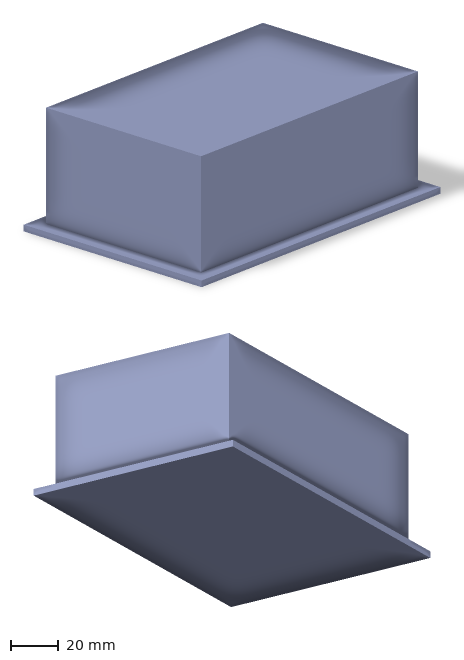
import cadquery as cq

flange_width = 100.0
flange_length = 150.0
total_height = 55.0

flange_thickness = 3.0
side_ledge = 6.5
end_ledge = 6.9

block_width = flange_width - 2 * side_ledge
block_length = flange_length - 2 * end_ledge
block_height = total_height - flange_thickness

flange = cq.Workplane("XY").rect(flange_width, flange_length).extrude(flange_thickness)

result = (
    flange.faces(">Z")
    .workplane()
    .rect(block_width, block_length)
    .extrude(block_height)
)